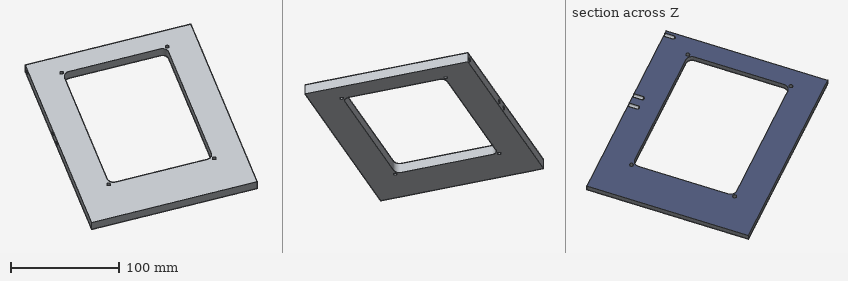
import cadquery as cq
import math

length = 200.0
width = 161.0
thickness = 10.0

left_border = 20.0
right_border = 40.0
side_border = 30.0
window_corner_radius = 6.0
window_length = length - left_border - right_border
window_width = width - 2 * side_border
window_center = (left_border + window_length / 2, width / 2)

mount_hole_diameter = 3.2
mount_hole_offset = 0.8

edge_hole_diameter = 3.5
edge_hole_depth = 10.0
drill_tip_angle = 118.0
edge_hole_positions = (5.0, 83.0, 95.0)


def make_plate():
    return cq.Workplane("XY").box(length, width, thickness, centered=False)


def make_window():
    return (
        cq.Workplane("XY")
        .center(*window_center)
        .rect(window_length, window_width)
        .extrude(thickness)
        .edges("|Z")
        .fillet(window_corner_radius)
    )


def make_mount_holes():
    return (
        cq.Workplane("XY")
        .center(*window_center)
        .rect(
            window_length + 2 * mount_hole_offset,
            window_width + 2 * mount_hole_offset,
            forConstruction=True,
        )
        .vertices()
        .circle(mount_hole_diameter / 2)
        .extrude(thickness)
    )


def make_edge_hole(x):
    radius = edge_hole_diameter / 2
    tip_length = radius / math.tan(math.radians(drill_tip_angle / 2))
    return (
        cq.Workplane("XY")
        .polyline([
            (0, 0),
            (radius, 0),
            (radius, edge_hole_depth),
            (0, edge_hole_depth + tip_length),
        ])
        .close()
        .revolve(360, (0, 0), (0, 1))
        .translate((x, 0, thickness / 2))
    )


result = make_plate().cut(make_window()).cut(make_mount_holes())
for hole_x in edge_hole_positions:
    result = result.cut(make_edge_hole(hole_x))